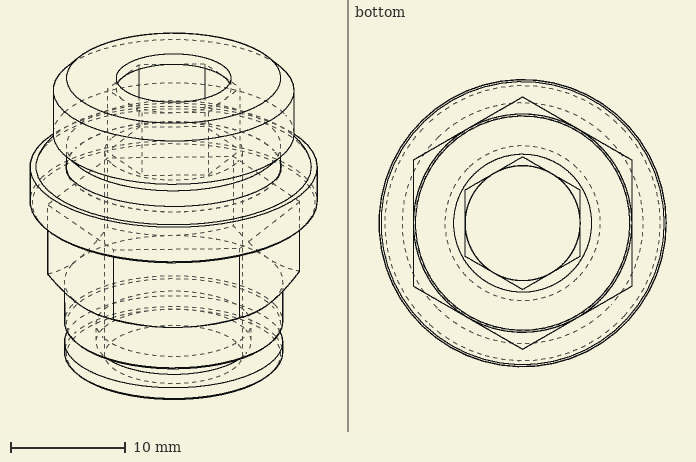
import cadquery as cq
import math

collar_top = 1.22
collar_neck_top = 2.95
hex_bottom = 7.0
flange_bottom = 14.5
flange_top = 18.0
seal_top = 19.0
groove_top = 20.0
total_height = 26.5

body_diameter = 19.0
collar_neck_diameter = 13.5
flange_diameter = 25.0
thread_diameter = 20.95
groove_diameter = 18.63

edge_chamfer = 0.19
seal_cord_radius = 1.35
hex_chamfer_angle = 30

hex_width = body_diameter
mouth_diameter = 10.0
mouth_depth = 1.0
key_width = mouth_diameter
key_bottom = 19.5
tube_diameter = 12.0


def cylinder(diameter, bottom, top):
    return cq.Workplane("XY").workplane(offset=bottom).circle(diameter / 2).extrude(top - bottom)


def hexagon(width, bottom, top):
    """Hexagonal prism with two of its flats facing -X and +X."""
    corner_diameter = width / math.cos(math.radians(30))
    prism = cq.Workplane("XY").polygon(6, corner_diameter).extrude(top - bottom)
    return prism.rotate((0, 0, 0), (0, 0, 1), 30).translate((0, 0, bottom))


def make_collar():
    neck = cylinder(collar_neck_diameter, 0, collar_neck_top)
    disc = cylinder(body_diameter, 0, collar_top).faces("<Z").chamfer(edge_chamfer)
    return neck.union(disc)


def make_body():
    return cylinder(body_diameter, collar_neck_top, hex_bottom).faces("<Z").chamfer(edge_chamfer)


def make_hex():
    """Wrench hexagon with its lower corners turned off by a cone."""
    height = flange_bottom - hex_bottom
    bottom_radius = hex_width / 2
    cone_top_radius = bottom_radius + height / math.tan(math.radians(hex_chamfer_angle))
    cone = (
        cq.Workplane("XZ")
        .moveTo(0, hex_bottom)
        .lineTo(bottom_radius, hex_bottom)
        .lineTo(cone_top_radius, flange_bottom)
        .lineTo(0, flange_bottom)
        .close()
        .revolve(360, (0, 0, 0), (0, 1, 0))
    )
    return hexagon(hex_width, hex_bottom, flange_bottom).intersect(cone)


def make_flange():
    return cylinder(flange_diameter, flange_bottom, flange_top).faces("<Z").chamfer(edge_chamfer)


def make_seal():
    """O-ring hugging the groove, sunk into the top of the flange."""
    ring_radius = groove_diameter / 2 + seal_cord_radius
    return (
        cq.Workplane("XZ")
        .center(ring_radius, seal_top - seal_cord_radius)
        .circle(seal_cord_radius)
        .revolve(360, (-ring_radius, 0, 0), (-ring_radius, 1, 0))
    )


def make_thread():
    """Plain threaded end, beveled down to the groove diameter at both ends."""
    bevel = (thread_diameter - groove_diameter) / 2
    groove = cylinder(groove_diameter, flange_top, groove_top)
    barrel = cylinder(thread_diameter, groove_top, total_height).edges().chamfer(bevel)
    return groove.union(barrel)


def make_passage():
    tube_socket = cylinder(tube_diameter, 0, key_bottom)
    key_socket = hexagon(key_width, key_bottom, total_height - mouth_depth)
    mouth = cylinder(mouth_diameter, total_height - mouth_depth, total_height)
    return tube_socket.union(key_socket).union(mouth)


result = make_collar()
for section in (make_body(), make_hex(), make_flange(), make_seal(), make_thread()):
    result = result.union(section)
result = result.cut(make_passage())